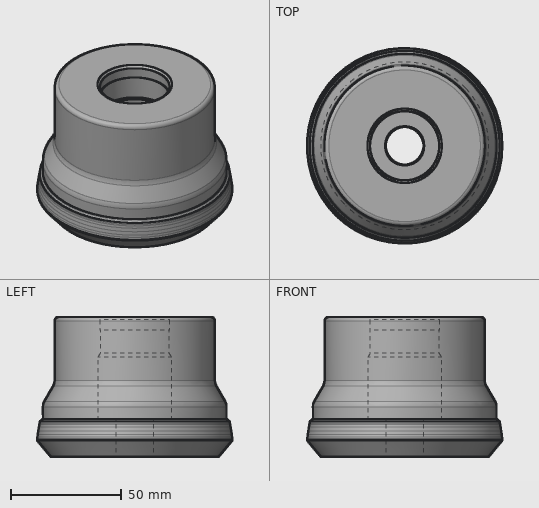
import cadquery as cq
import math

total_height = 63.5
joint_z = 17.25

neck_radius = 36.4
skirt_radius = 41.75
top_fillet = 2.0
shoulder_fillet = 5.0
shoulder_angle = 30.0
shoulder_base_z = 24.0

mouth_radius = 15.75
bore_radius = 15.65
mouth_chamfer = 1.15
mouth_depth = 6.0
bore_depth = 16.5
relief_radius = 16.6
relief_angle = 30.0

rim_radius = 88.75 / 2
rim_z = 7.8
rim_edge_radius = 44.2
rim_edge_z = 7.3
lip_radius = 42.3
lip_z = joint_z - (lip_radius - skirt_radius)
taper_top_radius = 43.1
taper_top_z = 16.05
taper_bulge = 0.08
taper_band_heights = (15.2, 14.6, 13.5, 11.8, 10.15, 9.05)
bottom_radius = 38.1

hole_radius = 8.5
hole_chamfer = 0.4


def revolve_profile(points):
    """Turn a closed (radius, height) outline about the Z axis."""
    return cq.Workplane("XZ").polyline(points).close().revolve(360, (0, 0), (0, 1))


def circles_at(height):
    """Select circular edges lying at one height."""
    tolerance = 0.01
    reach = 2 * rim_radius
    return cq.selectors.BoxSelector(
        (-reach, -reach, height - tolerance), (reach, reach, height + tolerance), boundingbox=True
    )


def make_housing():
    """Stepped sleeve with a sloping shoulder and a relieved bore."""
    shoulder_rise = (skirt_radius - neck_radius) / math.tan(math.radians(shoulder_angle))
    shoulder_top_z = shoulder_base_z + shoulder_rise
    body = revolve_profile([
        (0, joint_z),
        (skirt_radius, joint_z),
        (skirt_radius, shoulder_base_z),
        (neck_radius, shoulder_top_z),
        (neck_radius, total_height),
        (0, total_height),
    ])
    body = body.edges(circles_at(shoulder_base_z)).fillet(shoulder_fillet)
    body = body.edges(circles_at(shoulder_top_z)).fillet(shoulder_fillet)
    body = body.edges(circles_at(total_height)).fillet(top_fillet)

    bore_end_z = total_height - bore_depth
    flare_height = (relief_radius - bore_radius) / math.tan(math.radians(relief_angle))
    mouth_end_z = total_height - mouth_depth
    bore = revolve_profile([
        (0, joint_z),
        (relief_radius, joint_z),
        (relief_radius, bore_end_z - flare_height),
        (bore_radius, bore_end_z),
        (bore_radius, mouth_end_z),
        (mouth_radius, mouth_end_z),
        (mouth_radius, total_height - mouth_chamfer),
        (mouth_radius + mouth_chamfer, total_height),
        (0, total_height),
    ])
    return body.cut(bore)


def taper_radius(height):
    """Radius of the slightly bowed taper, a parabola over the straight cone."""
    fraction = (taper_top_z - height) / (taper_top_z - rim_z)
    straight = taper_top_radius + fraction * (rim_radius - taper_top_radius)
    return straight + 4 * taper_bulge * fraction * (1 - fraction)


def make_base_ring():
    """Flared ring with a banded taper, a conical underside and a centre hole."""
    taper_bands = [(taper_radius(z), z) for z in reversed(taper_band_heights)]
    return revolve_profile([
        (hole_radius, 0),
        (bottom_radius, 0),
        (rim_edge_radius, rim_edge_z),
        (rim_radius, rim_z),
        *taper_bands,
        (taper_top_radius, taper_top_z),
        (lip_radius, lip_z),
        (skirt_radius, joint_z),
        (hole_radius + hole_chamfer, joint_z),
        (hole_radius, joint_z - hole_chamfer),
    ])


housing = make_housing()
base_ring = make_base_ring()

result = cq.Compound.makeCompound([housing.val(), base_ring.val()])